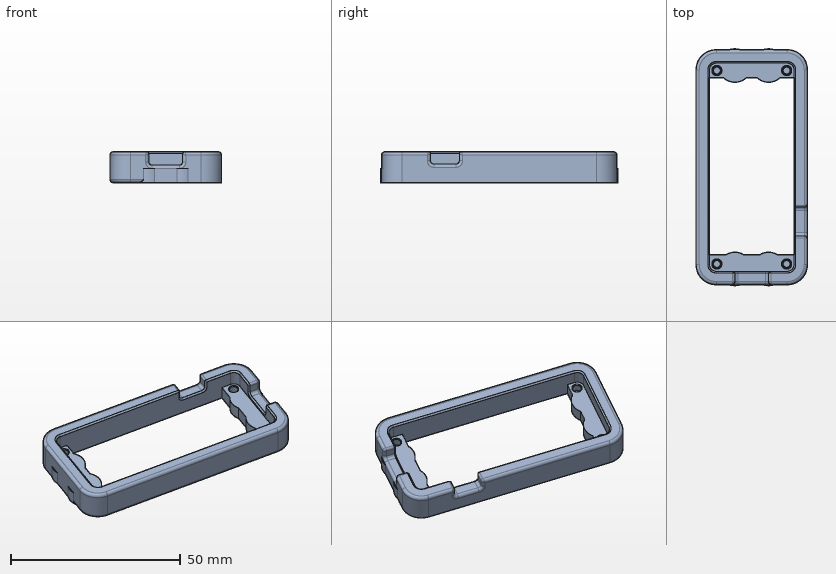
import cadquery as cq

length_over_bosses = 70.1
boss_overhang = 0.3
length = length_over_bosses - 2 * boss_overhang
width = 33.0
height = 9.2
wall = 4.0
corner_radius = 6.0
edge_round = 1.0
inner_chamfer = 0.5

ledge_height = 4.2
back_ledge_edge = 26.4
front_ledge_edge = 25.85
boss_radius = 5.0
boss_x = 5.0
boss_y = length_over_bosses / 2 - boss_radius

hole_diameter = 2.5
hole_chamfer = 0.245
hole_depth = 3.0
hole_x = 10.3
hole_y = 28.6

notch_corner = 1.0
front_notch_width = 9.95
front_lip_round = 0.7
front_notch_floor = ledge_height + edge_round
side_notch_width = 8.5
side_notch_y = -16.05
side_notch_floor = 5.55
side_lip_round = 0.55

inner_width = width - 2 * wall
inner_length = length - 2 * wall
inner_radius = corner_radius - wall
front_wall_y = -(length - wall) / 2
right_wall_x = (width - wall) / 2
overshoot = 0.7
tolerance = 0.01


def rounded_block(size_x, size_y, size_z, radius):
    block = cq.Workplane("XY").box(size_x, size_y, size_z, centered=(True, True, False))
    return block.edges("|Z").fillet(radius)


def notch_cutter(opening, floor):
    """Slot running along Y, centred on the origin, with rounded floor corners."""
    depth = height + overshoot - floor
    cutter = cq.Workplane("XY").box(opening, wall + 2 * overshoot, depth, centered=(True, True, False))
    return cutter.edges("|Y and <Z").fillet(notch_corner).translate((0, 0, floor))


def is_upper_rim(edge, size_x, size_y, radius):
    """True for edges on a rounded-rectangle wall surface, above the base, that follow its rim."""
    box = edge.BoundingBox()
    if box.zmax < tolerance or box.zlen > height - tolerance:
        return False
    for fraction in (0, 0.5, 1):
        point = edge.positionAt(fraction)
        past_x = max(abs(point.x) - (size_x / 2 - radius), 0)
        past_y = max(abs(point.y) - (size_y / 2 - radius), 0)
        if abs((past_x**2 + past_y**2) ** 0.5 - radius) > tolerance:
            return False
    return True


def upper_rim(body, size_x, size_y, radius):
    return body.edges().filter(lambda edge: is_upper_rim(edge, size_x, size_y, radius))


def notch_lips(body, direction):
    """The straight top edges that cross the wall beside a notch, along the given axis."""
    top_edges = body.faces(">Z").edges(f"|{direction}")
    return top_edges.filter(lambda edge: abs(edge.Length() - wall) < tolerance)


def make_frame():
    outer = rounded_block(width, length, height, corner_radius)
    inner = rounded_block(inner_width, inner_length, height, inner_radius)
    front_cutter = notch_cutter(front_notch_width, front_notch_floor)
    side_cutter = notch_cutter(side_notch_width, side_notch_floor).rotate((0, 0, 0), (0, 0, 1), 90)
    frame = outer.cut(inner)
    frame = frame.cut(front_cutter.translate((0, front_wall_y, 0)))
    frame = frame.cut(side_cutter.translate((right_wall_x, side_notch_y, 0)))

    frame = notch_lips(frame, "Y").fillet(front_lip_round)
    frame = notch_lips(frame, "X").fillet(side_lip_round)
    frame = upper_rim(frame, width, length, corner_radius).fillet(edge_round)
    frame = upper_rim(frame, inner_width, inner_length, inner_radius).chamfer(inner_chamfer)
    return frame


def round_left_base(frame):
    """Round the lower outer edge, but only to the left of the left-hand bosses."""
    square_edged = rounded_block(width, length, height, corner_radius)
    round_edged = square_edged.faces("<Z").edges().fillet(edge_round)
    right_part = (
        cq.Workplane("XY")
        .box(width, length, height, centered=(False, True, False))
        .translate((-boss_x, 0, 0))
    )
    envelope = round_edged.union(square_edged.intersect(right_part))
    return frame.intersect(envelope)


def make_ledges():
    opening = rounded_block(inner_width + wall, inner_length + wall, ledge_height, corner_radius - wall / 2)
    gap_length = back_ledge_edge + front_ledge_edge
    gap = (
        cq.Workplane("XY")
        .box(width, gap_length, ledge_height, centered=(True, False, False))
        .translate((0, -front_ledge_edge, 0))
    )
    ledges = opening.cut(gap)
    for x in (-boss_x, boss_x):
        for y in (-boss_y, boss_y):
            ledges = ledges.union(cq.Workplane("XY").center(x, y).circle(boss_radius).extrude(ledge_height))
    return ledges


def drill_screw_holes(body):
    ledge_top = cq.Workplane("XY").workplane(offset=ledge_height)
    places = ledge_top.rect(2 * hole_x, 2 * hole_y, forConstruction=True).vertices()
    hole_radius = hole_diameter / 2
    profile = [
        (0, 0),
        (hole_radius + hole_chamfer, 0),
        (hole_radius, -hole_chamfer),
        (hole_radius, hole_chamfer - hole_depth),
        (hole_radius - hole_chamfer, -hole_depth),
        (0, -hole_depth),
    ]
    cutter = cq.Workplane("XZ").polyline(profile).close().revolve(360, (0, 0), (0, 1)).val()
    return body.cut(places.eachpoint(lambda place: cutter.moved(place)))


result = drill_screw_holes(round_left_base(make_frame()).union(make_ledges()))